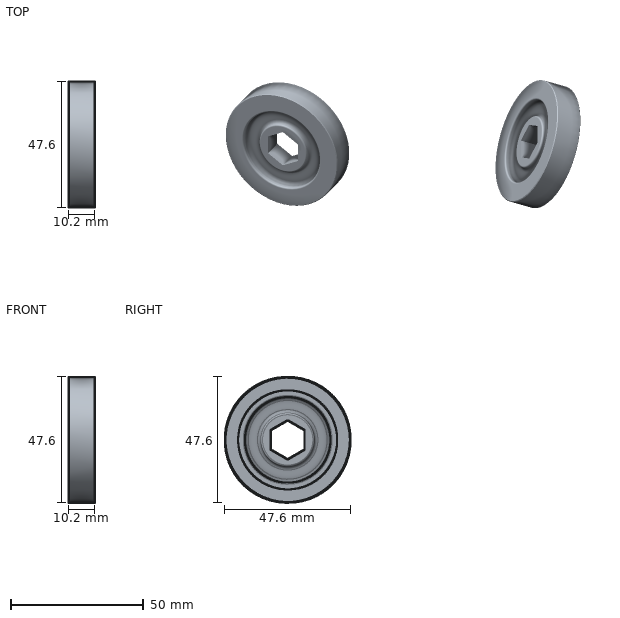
import cadquery as cq

outer_radius = 23.8
width = 10.15
tire_chamfer = 0.3
seat_diameter = 37.5

rim_inner_radius = 16.2
hub_radius = 10.15
edge_round = 0.6
root_fillet = 1.3
rim_wall = 1.25
hex_across_corners = 14.65

seat_radius = seat_diameter / 2
half_width = width / 2
hub_half_width = half_width - rim_wall
web_half_width = hub_half_width - edge_round - root_fillet


def make_disc(radius):
    """Full-width solid disc about the X axis."""
    return cq.Workplane("YZ", origin=(-half_width, 0, 0)).circle(radius).extrude(width)


def make_tire():
    """Solid ring with chamfered outer edges."""
    tire = make_disc(outer_radius).faces("<X or >X").edges().chamfer(tire_chamfer)
    return tire.cut(make_disc(seat_radius))


def make_groove(side):
    """Annular recess with its hub and rim rounds, on the face toward side (+1 or -1) along X."""
    def point(x, radius):
        return (side * x, radius)

    rim_round_x = half_width - edge_round
    fillet_x = web_half_width + root_fillet
    hub_edge = point(hub_half_width, hub_radius - edge_round)
    convex = -side * edge_round
    concave = side * root_fillet
    return (
        cq.Workplane("XY")
        .moveTo(side * half_width, 0)
        .lineTo(side * hub_half_width, 0)
        .lineTo(*hub_edge)
        .radiusArc(point(fillet_x, hub_radius), convex)
        .radiusArc(point(web_half_width, hub_radius + root_fillet), concave)
        .lineTo(*point(web_half_width, rim_inner_radius - root_fillet))
        .radiusArc(point(fillet_x, rim_inner_radius), concave)
        .lineTo(*point(rim_round_x, rim_inner_radius))
        .radiusArc(point(half_width, rim_inner_radius + edge_round), convex)
        .close()
        .revolve(360, (0, 0, 0), (1, 0, 0))
    )


def make_core():
    """Rim, web and hub in one piece, with a hexagonal through bore."""
    core = make_disc(seat_radius)
    for side in (1, -1):
        core = core.cut(make_groove(side))
    bore = (
        cq.Workplane("YZ", origin=(-half_width, 0, 0))
        .transformed(rotate=(0, 0, 90))
        .polygon(6, hex_across_corners)
        .extrude(width)
    )
    return core.cut(bore)


tire = make_tire()
core = make_core()
result = cq.Compound.makeCompound([tire.val(), core.val()])